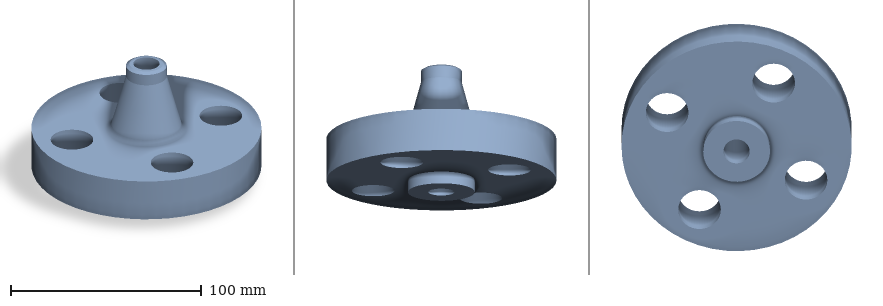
import cadquery as cq

overall_height = 66.8

flange_diameter = 120.6
flange_thickness = 22.4
face_diameter = 35.0
face_height = 6.4

hub_base_diameter = 38.1
hub_fillet = 3.0
neck_diameter = 21.3
neck_length = 7.2
bevel_width = 1.8
bevel_height = 1.1
bore_diameter = 13.8

bolt_count = 4
bolt_circle_diameter = 82.5
bolt_hole_diameter = 22.3

flange_top = face_height + flange_thickness
neck_start = overall_height - neck_length


def raised_face_and_flange():
    face = cq.Workplane("XY").circle(face_diameter / 2).extrude(face_height)
    flange = (
        cq.Workplane("XY")
        .workplane(offset=face_height)
        .circle(flange_diameter / 2)
        .extrude(flange_thickness)
    )
    return face.union(flange)


def tapered_hub():
    """Cone with a straight neck and a weld bevel at its tip."""
    neck_radius = neck_diameter / 2
    return (
        cq.Workplane("XZ")
        .moveTo(0, flange_top)
        .lineTo(hub_base_diameter / 2, flange_top)
        .lineTo(neck_radius, neck_start)
        .lineTo(neck_radius, overall_height - bevel_height)
        .lineTo(neck_radius - bevel_width, overall_height)
        .lineTo(0, overall_height)
        .close()
        .revolve(360, (0, 0, 0), (0, 1, 0))
    )


def fillet_hub_base(body):
    """Round the corner where the cone meets the top of the flange."""
    margin = hub_fillet / 2
    reach = hub_base_diameter / 2 + margin
    corner = cq.selectors.BoxSelector(
        (-reach, -reach, flange_top - margin),
        (reach, reach, flange_top + margin),
        boundingbox=True,
    )
    return body.edges(corner).fillet(hub_fillet)


def bore():
    return cq.Workplane("XY").circle(bore_diameter / 2).extrude(overall_height)


def bolt_holes():
    return (
        cq.Workplane("XY")
        .polarArray(bolt_circle_diameter / 2, 0, 360, bolt_count)
        .circle(bolt_hole_diameter / 2)
        .extrude(flange_top)
    )


blank = raised_face_and_flange().union(tapered_hub())
result = fillet_hub_base(blank).cut(bore()).cut(bolt_holes())